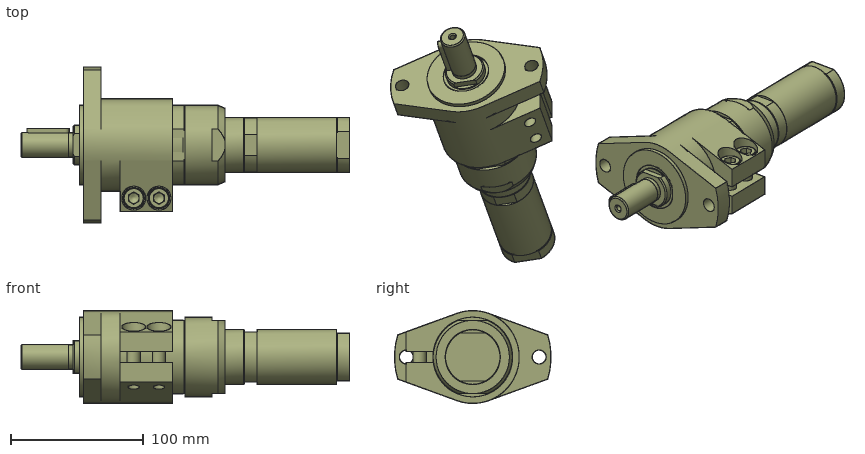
import cadquery as cq
import math


SHAFT_SHOULDER_X = 36.0
COLLAR_X = 39.3
PILOT_X = 44.0
FLANGE_X = 47.0
FLANGE_BACK_X = 60.5
CLAMP_X = 74.7
NECK_X = 114.2
NECK_KEY_END_X = 122.0
RING_X = 123.5
RING_FLAT_X = 144.0
RING_CONE_X = 148.5
TAIL_X = 153.8
WRENCH_X = 168.3
SLEEVE_X = 177.8
END_CAP_X = 237.7
END_X = 247.5

SHAFT_D = 19.0
SHAFT_SHOULDER_D = 18.8
SHAFT_CHAMFER = 1.0
CENTRE_DRILL_D = 4.13
CENTRE_SINK_D = 6.0
CENTRE_DRILL_DEPTH = 12.0
CENTRE_DRILL_TIP = 1.2
KEY_WIDTH = 6.0
KEY_LENGTH = 32.0
KEY_START_X = 4.5
KEY_TOP = 12.5

COLLAR_D = 29.95
COLLAR_FLATS = 24.5
COLLAR_CHAMFER = 1.0
RECESS_D = 35.0
RECESS_DEPTH = 1.0

PILOT_D = 60.0
BODY_D = 70.0
FLANGE_SPAN = 118.0
FLANGE_SLOPE = 20.0
FLANGE_END_Y = 56.5
FLANGE_HOLE_D = 10.3
FLANGE_HOLE_PITCH = 100.0

CLAMP_END_Y = -50.2
CLAMP_SLOT = 8.0
BOLT_Y = -40.0
BOLT_PITCH = 19.0
BOLT_D = 10.0
BOLT_HEAD_D = 16.0
BOLT_HEAD_CHAMFER = 0.8
BOLT_HEAD_HEIGHT = 10.0
BOLT_SEAT_Z = 9.0
BOLT_END_Z = -15.0
COUNTERBORE_D = 18.0
TAPPED_D = 8.38
HEX_HALF_SECTOR = 30.0
SOCKET_FLATS = 8.0
SOCKET_DEPTH = 5.0
SOCKET_CONE = 2.0

RING_D = 60.0
RING_END_D = 55.18
RING_FLATS = 55.0
NECK_KEY_D = 56.0

TAIL_D = 41.5
WRENCH_D = 41.2
WRENCH_FLATS = 38.0
END_FLATS = 36.0

JOINT_WIDTH = 0.6
JOINT_DEPTH = 0.4


def disc(x_start, x_end, diameter):
    """Cylinder on the motor axis between two stations."""
    return cq.Workplane("YZ").workplane(offset=x_start).circle(diameter / 2).extrude(x_end - x_start)


def flatted_disc(x_start, x_end, diameter, across_flats):
    """Cylinder on the motor axis with two flats facing +Z and -Z."""
    length = x_end - x_start
    slab = cq.Workplane("XY").box(length, diameter, across_flats)
    return disc(x_start, x_end, diameter).intersect(slab.translate((x_start + length / 2, 0, 0)))


def tangent_point(outer_y):
    """Y and Z where the sloped edges meet the body circle, on the side of outer_y."""
    slope = math.radians(FLANGE_SLOPE)
    radius = BODY_D / 2
    return math.copysign(radius * math.sin(slope), outer_y), radius * math.cos(slope)


def slope_height(y):
    """Z of the sloped edge, tangent to the body circle, at a given Y."""
    tangent_y, tangent_z = tangent_point(y)
    return tangent_z - abs(y - tangent_y) * math.tan(math.radians(FLANGE_SLOPE))


def make_shaft():
    shaft = disc(0, SHAFT_SHOULDER_X, SHAFT_D).faces("<X").chamfer(SHAFT_CHAMFER)
    shaft = shaft.union(disc(SHAFT_SHOULDER_X, PILOT_X, SHAFT_SHOULDER_D))
    key = (
        cq.Workplane("XZ")
        .center(KEY_START_X + KEY_LENGTH / 2, 0)
        .slot2D(KEY_LENGTH, KEY_WIDTH)
        .extrude(-KEY_TOP)
    )
    shaft = shaft.union(key)
    sink_depth = (CENTRE_SINK_D - CENTRE_DRILL_D) / 2
    sink = cq.Workplane("YZ").circle(CENTRE_SINK_D / 2).workplane(offset=sink_depth)
    sink = sink.circle(CENTRE_DRILL_D / 2).loft()
    tip_base = cq.Vector(CENTRE_DRILL_DEPTH, 0, 0)
    tip = cq.Solid.makeCone(CENTRE_DRILL_D / 2, 0, CENTRE_DRILL_TIP, tip_base, cq.Vector(1, 0, 0))
    drill = disc(0, CENTRE_DRILL_DEPTH, CENTRE_DRILL_D).union(cq.Workplane(tip))
    return shaft.cut(drill).cut(sink)


def make_collar():
    round_collar = disc(COLLAR_X, PILOT_X + RECESS_DEPTH, COLLAR_D).faces("<X").chamfer(COLLAR_CHAMFER)
    flats = flatted_disc(COLLAR_X, PILOT_X, COLLAR_D, COLLAR_FLATS)
    base = disc(PILOT_X, PILOT_X + RECESS_DEPTH, COLLAR_D)
    return round_collar.intersect(flats.union(base))


def make_flange():
    """Flange wings and pilot; the body cylinder fills the round middle of the flange."""
    tangent_y, tangent_z = tangent_point(1)
    end_z = slope_height(FLANGE_END_Y)
    flange = (
        cq.Workplane("YZ")
        .workplane(offset=FLANGE_X)
        .moveTo(tangent_y, tangent_z)
        .lineTo(FLANGE_END_Y, end_z)
        .threePointArc((FLANGE_SPAN / 2, 0), (FLANGE_END_Y, -end_z))
        .lineTo(tangent_y, -tangent_z)
        .lineTo(-tangent_y, -tangent_z)
        .lineTo(-FLANGE_END_Y, -end_z)
        .threePointArc((-FLANGE_SPAN / 2, 0), (-FLANGE_END_Y, end_z))
        .lineTo(-tangent_y, tangent_z)
        .close()
        .extrude(FLANGE_BACK_X - FLANGE_X)
    )
    holes = (
        cq.Workplane("YZ")
        .workplane(offset=FLANGE_X)
        .pushPoints([(-FLANGE_HOLE_PITCH / 2, 0), (FLANGE_HOLE_PITCH / 2, 0)])
        .circle(FLANGE_HOLE_D / 2)
        .extrude(FLANGE_BACK_X - FLANGE_X)
    )
    pilot = disc(PILOT_X, FLANGE_X, PILOT_D).cut(disc(PILOT_X, PILOT_X + RECESS_DEPTH, RECESS_D))
    return flange.cut(holes).union(pilot)


def make_bolt(x):
    """Socket head screw, standing on its counterbore seat."""
    head_top = BOLT_SEAT_Z + BOLT_HEAD_HEIGHT
    head = cq.Workplane("XY").workplane(offset=BOLT_SEAT_Z).circle(BOLT_HEAD_D / 2).extrude(BOLT_HEAD_HEIGHT)
    head = head.faces(">Z").edges().chamfer(BOLT_HEAD_CHAMFER)
    corner_d = SOCKET_FLATS / math.cos(math.radians(HEX_HALF_SECTOR))
    socket_floor = head_top - SOCKET_DEPTH
    socket = cq.Workplane("XY").workplane(offset=socket_floor).polygon(6, corner_d).extrude(SOCKET_DEPTH)
    socket = socket.rotate((0, 0, 0), (0, 0, 1), HEX_HALF_SECTOR)
    cone = cq.Solid.makeCone(0, SOCKET_FLATS / 2, SOCKET_CONE, cq.Vector(0, 0, socket_floor - SOCKET_CONE))
    shank = cq.Workplane("XY").workplane(offset=BOLT_END_Z).circle(BOLT_D / 2)
    shank = shank.extrude(BOLT_SEAT_Z - BOLT_END_Z)
    return head.cut(socket).cut(cq.Workplane(cone)).union(shank).translate((x, BOLT_Y, 0))


def make_clamp():
    length = NECK_X - CLAMP_X
    tangent_y, tangent_z = tangent_point(CLAMP_END_Y)
    end_z = slope_height(CLAMP_END_Y)
    clamp = (
        cq.Workplane("YZ")
        .workplane(offset=CLAMP_X)
        .moveTo(tangent_y, tangent_z)
        .lineTo(CLAMP_END_Y, end_z)
        .lineTo(CLAMP_END_Y, -end_z)
        .lineTo(tangent_y, -tangent_z)
        .threePointArc((BODY_D / 2, 0), (tangent_y, tangent_z))
        .close()
        .extrude(length)
    )
    middle_x = CLAMP_X + length / 2
    slot = cq.Workplane("XY").box(length, -CLAMP_END_Y, CLAMP_SLOT)
    clamp = clamp.cut(slot.translate((middle_x, CLAMP_END_Y / 2, 0)))
    bolt_xs = [middle_x - BOLT_PITCH / 2, middle_x + BOLT_PITCH / 2]
    bolt_points = [(x, BOLT_Y) for x in bolt_xs]
    counterbores = cq.Workplane("XY").workplane(offset=BOLT_SEAT_Z).pushPoints(bolt_points)
    counterbores = counterbores.circle(COUNTERBORE_D / 2).extrude(BODY_D / 2)
    tapped_holes = cq.Workplane("XY").workplane(offset=BOLT_END_Z).pushPoints(bolt_points)
    tapped_holes = tapped_holes.circle(TAPPED_D / 2).extrude(-BODY_D / 2)
    clamp = clamp.cut(counterbores).cut(tapped_holes)
    for x in bolt_xs:
        clamp = clamp.union(make_bolt(x))
    return clamp.union(disc(CLAMP_X, NECK_X, PILOT_D))


def make_ring():
    neck = flatted_disc(NECK_X, RING_X, RING_D, RING_FLATS)
    neck = neck.union(disc(NECK_X, NECK_KEY_END_X, NECK_KEY_D))
    ring = disc(RING_X, RING_FLAT_X, RING_D)
    cone = cq.Workplane("YZ").workplane(offset=RING_CONE_X).circle(RING_D / 2)
    cone = cone.workplane(offset=TAIL_X - RING_CONE_X).circle(RING_END_D / 2).loft()
    ring_end = disc(RING_FLAT_X, RING_CONE_X, RING_D).union(cone)
    ring_end = ring_end.intersect(flatted_disc(RING_FLAT_X, TAIL_X, RING_D, RING_FLATS))
    return neck.union(ring).union(ring_end)


def make_tail():
    tail = disc(TAIL_X, WRENCH_X, TAIL_D)
    tail = tail.union(flatted_disc(WRENCH_X, SLEEVE_X, WRENCH_D, WRENCH_FLATS))
    tail = tail.union(disc(SLEEVE_X, END_CAP_X, TAIL_D))
    return tail.union(flatted_disc(END_CAP_X, END_X, TAIL_D, END_FLATS))


def make_joint_groove(x_end, diameter):
    """Ring-shaped cutter for a groove that ends at x_end on a housing of the given diameter."""
    x_start = x_end - JOINT_WIDTH
    return disc(x_start, x_end, BODY_D).cut(disc(x_start, x_end, diameter - 2 * JOINT_DEPTH))


result = make_shaft()
for section in (
    make_collar(),
    make_flange(),
    disc(FLANGE_X, CLAMP_X, BODY_D),
    make_clamp(),
    make_ring(),
    make_tail(),
):
    result = result.union(section)

for joint_x, housing_d in (
    (RING_X, RING_D),
    (WRENCH_X, TAIL_D),
    (END_CAP_X + JOINT_WIDTH, TAIL_D),
):
    result = result.cut(make_joint_groove(joint_x, housing_d))